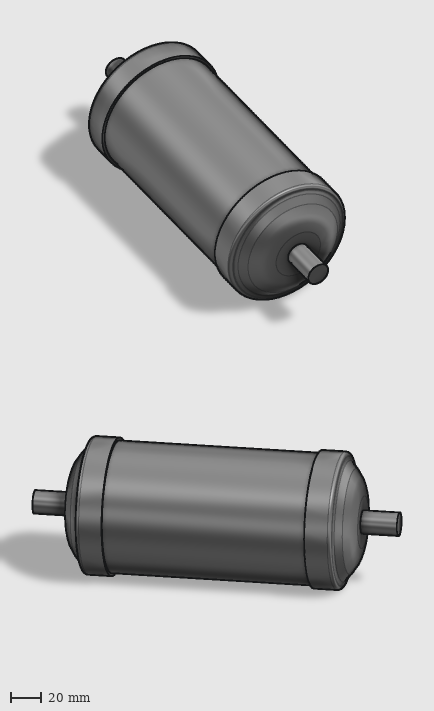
import cadquery as cq
import math

overall_length = 248.0
tube_radius = 8.0
tube_length = 24.8
body_radius = 44.5
collar_radius = 46.5
collar_inner_x = 69.0
rim_x = 87.0
rim_round = 2.5
crown_radius = 17.5
knuckle_radius = 27.3
cone_tilt = math.radians(41)
cove_radius = 4.2

half_length = overall_length / 2
crown_x = half_length - tube_length


def arc_point(center, radius, angle):
    """Point on an arc, with the angle measured from +X."""
    return (center[0] + radius * math.cos(angle), center[1] + radius * math.sin(angle))


def make_end():
    """Solid end cap on the +X side: collar, dome and tube."""
    knuckle_center = (crown_x - knuckle_radius, crown_radius)
    cone_top = arc_point(knuckle_center, knuckle_radius, cone_tilt)
    knuckle_middle = arc_point(knuckle_center, knuckle_radius, cone_tilt / 2)

    cove_center_x = rim_x + cove_radius
    cone_bottom_x = cove_center_x - cove_radius * math.cos(cone_tilt)
    cone_bottom_radius = cone_top[1] + (cone_top[0] - cone_bottom_x) / math.tan(cone_tilt)
    cove_center = (cove_center_x, cone_bottom_radius + cove_radius * math.sin(cone_tilt))
    cove_middle = arc_point(cove_center, cove_radius, math.pi + cone_tilt / 2)

    round_center = (rim_x - rim_round, collar_radius - rim_round)
    round_middle = arc_point(round_center, rim_round, math.pi / 4)

    profile = (
        cq.Workplane("XY")
        .moveTo(collar_inner_x, 0)
        .lineTo(half_length, 0)
        .lineTo(half_length, tube_radius)
        .lineTo(crown_x, tube_radius)
        .lineTo(crown_x, crown_radius)
        .threePointArc(knuckle_middle, cone_top)
        .lineTo(cone_bottom_x, cone_bottom_radius)
        .threePointArc(cove_middle, (rim_x, cove_center[1]))
        .lineTo(rim_x, round_center[1])
        .threePointArc(round_middle, (round_center[0], collar_radius))
        .lineTo(collar_inner_x, collar_radius)
        .close()
    )
    return profile.revolve(360, (0, 0, 0), (1, 0, 0))


right_end = make_end()
left_end = right_end.mirror("YZ")
body = cq.Workplane("YZ").circle(body_radius).extrude(collar_inner_x, both=True)
result = body.union(right_end).union(left_end)